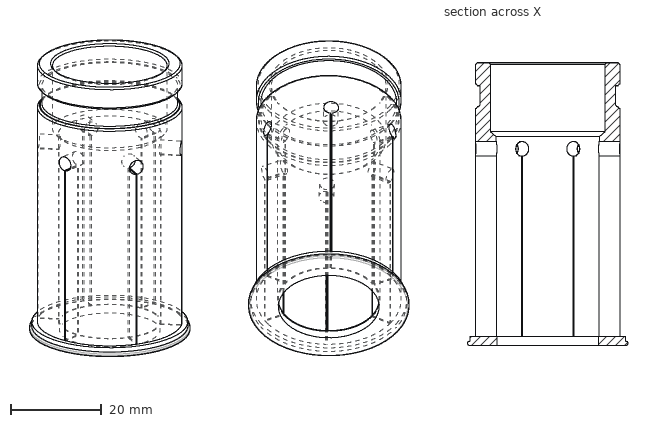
import cadquery as cq

height = 62.5
body_radius = 32.0 / 2
collar_radius = 32.0 / 2
neck_radius = 30.0 / 2

flange_radius = 34.5 / 2
flange_height = 2.0
lip_radius = 35.5 / 2
lip_height = 1.0
lip_round = 0.3

neck_bottom = 52.75
collar_bottom = 57.4
edge_chamfer = 0.45
neck_flare = 0.4

bore_radius = 25.3 / 2
narrow_radius = 22.7 / 2
mouth_radius = 22.25 / 2
bore_chamfer = 0.45
cone_top = 47.25
cone_height = 1.1

slit_count = 6
hole_diameter = 3.25
hole_height = 43.45
slit_width = 0.3


def sleeve():
    """Revolve the wall section, drawn as radius against height."""
    section = (
        cq.Workplane("XZ")
        .moveTo(mouth_radius, 0)
        .lineTo(lip_radius - lip_round, 0)
        .radiusArc((lip_radius, lip_round), -lip_round)
        .lineTo(lip_radius, lip_height - lip_round)
        .radiusArc((lip_radius - lip_round, lip_height), -lip_round)
        .lineTo(flange_radius, lip_height)
        .lineTo(flange_radius, flange_height)
        .lineTo(body_radius, flange_height)
        .lineTo(body_radius, neck_bottom - edge_chamfer)
        .lineTo(body_radius - edge_chamfer, neck_bottom)
        .lineTo(neck_radius + neck_flare, neck_bottom)
        .lineTo(neck_radius, neck_bottom + neck_flare)
        .lineTo(neck_radius, collar_bottom)
        .lineTo(collar_radius - edge_chamfer, collar_bottom)
        .lineTo(collar_radius, collar_bottom + edge_chamfer)
        .lineTo(collar_radius, height - edge_chamfer)
        .lineTo(collar_radius - edge_chamfer, height)
        .lineTo(bore_radius + bore_chamfer, height)
        .lineTo(bore_radius, height - bore_chamfer)
        .lineTo(bore_radius, cone_top)
        .lineTo(narrow_radius, cone_top - cone_height)
        .lineTo(narrow_radius, flange_height)
        .lineTo(mouth_radius, flange_height)
        .close()
    )
    return section.revolve(360, (0, 0, 0), (0, 1, 0))


def slit_cutter(angle):
    """Radial hole with a thin slit running down from it to the flange."""
    hole = (
        cq.Workplane("XZ")
        .center(0, hole_height)
        .circle(hole_diameter / 2)
        .extrude(lip_radius)
    )
    slit = cq.Workplane("XY").box(
        slit_width, lip_radius, hole_height - flange_height, centered=(True, False, False)
    ).translate((0, -lip_radius, flange_height))
    return hole.union(slit).rotate((0, 0, 0), (0, 0, 1), angle)


result = sleeve()
for index in range(slit_count):
    result = result.cut(slit_cutter(index * 360 / slit_count))